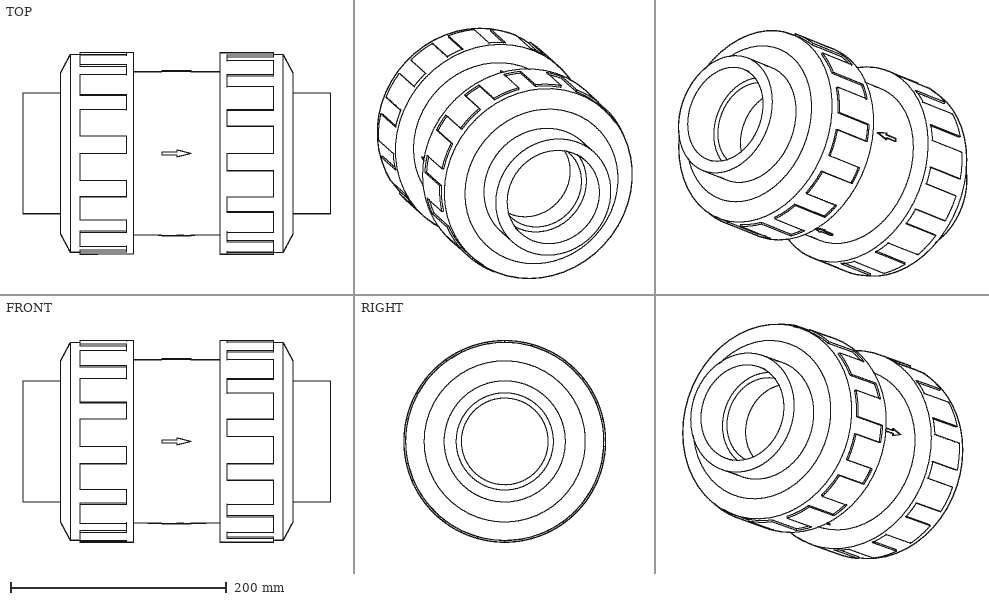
import cadquery as cq
import math

overall_length = 285.0
nut_outer_end = 107.7
nut_inner_end = 40.0
chamfer_length = 9.0
tooth_outer_end = 89.8
tooth_inner_end = 46.5

pipe_radius = 56.1
socket_radius = 45.0
stop_bore_radius = 40.2
body_radius = 75.8
nut_radius = 91.8
tooth_radius = 93.5
nut_end_radius = 74.7

socket_depth = 38.2
stop_bore_depth = 71.2

tooth_count = 14
tooth_pitch = 360.0 / tooth_count
groove_angle = 10.0
first_groove_angle = groove_angle / 2

arrow_tail_x = -13.7
arrow_neck_x = 0.0
arrow_tip_x = 13.0
arrow_shaft_width = 2.8
arrow_head_width = 6.5
arrow_count = 4
arrow_height = 0.9
arrow_top = body_radius + arrow_height
arrow_embed = 2.8
arrow_root = body_radius - arrow_embed


def cylinder(x_start, length, radius):
    """Solid cylinder along X."""
    return cq.Workplane("YZ", origin=(x_start, 0, 0)).circle(radius).extrude(length)


def groove(angle):
    """Gap between two teeth, a wedge turned about X by angle from +Z towards +Y."""
    reach = 2 * tooth_radius
    half_width = reach * math.tan(math.radians(groove_angle / 2))
    wedge = (
        cq.Workplane("YZ", origin=(-tooth_outer_end, 0, 0))
        .polyline([(0, 0), (-half_width, reach), (half_width, reach)])
        .close()
        .extrude(tooth_outer_end - tooth_inner_end)
    )
    return wedge.rotate((0, 0, 0), (1, 0, 0), -angle)


def union_nut():
    """Nut at the -X end, with a conical outer end and a toothed grip."""
    core = (
        cq.Workplane("XY")
        .polyline([
            (-nut_outer_end, 0),
            (-nut_outer_end, nut_end_radius),
            (-nut_outer_end + chamfer_length, nut_radius),
            (-nut_inner_end, nut_radius),
            (-nut_inner_end, 0),
        ])
        .close()
        .revolve(360, (0, 0, 0), (1, 0, 0))
    )
    grip = cylinder(-tooth_outer_end, tooth_outer_end - nut_inner_end, tooth_radius)
    for index in range(tooth_count):
        grip = grip.cut(groove(first_groove_angle + index * tooth_pitch))
    return core.union(grip)


def pipe_bore():
    """Socket and narrower stop bore entering from the -X end."""
    pipe_end = -overall_length / 2
    socket = cylinder(pipe_end, socket_depth, socket_radius)
    return socket.union(cylinder(pipe_end, stop_bore_depth, stop_bore_radius))


def flow_arrow():
    """Raised arrow on the +Z side of the body, pointing to +X."""
    shaft = arrow_shaft_width / 2
    head = arrow_head_width / 2
    return (
        cq.Workplane("XY", origin=(0, 0, arrow_root))
        .polyline([
            (arrow_tail_x, -shaft),
            (arrow_neck_x, -shaft),
            (arrow_neck_x, -head),
            (arrow_tip_x, 0),
            (arrow_neck_x, head),
            (arrow_neck_x, shaft),
            (arrow_tail_x, shaft),
        ])
        .close()
        .extrude(arrow_top - arrow_root)
    )


def both_ends(feature):
    """The feature and its copy turned half a turn about Z."""
    return [feature, feature.rotate((0, 0, 0), (0, 0, 1), 180)]


result = cylinder(-overall_length / 2, overall_length, pipe_radius)
result = result.union(cylinder(-nut_inner_end, 2 * nut_inner_end, body_radius))
for nut in both_ends(union_nut()):
    result = result.union(nut)
for bore in both_ends(pipe_bore()):
    result = result.cut(bore)
for index in range(arrow_count):
    turn = index * 360.0 / arrow_count
    result = result.union(flow_arrow().rotate((0, 0, 0), (1, 0, 0), turn))